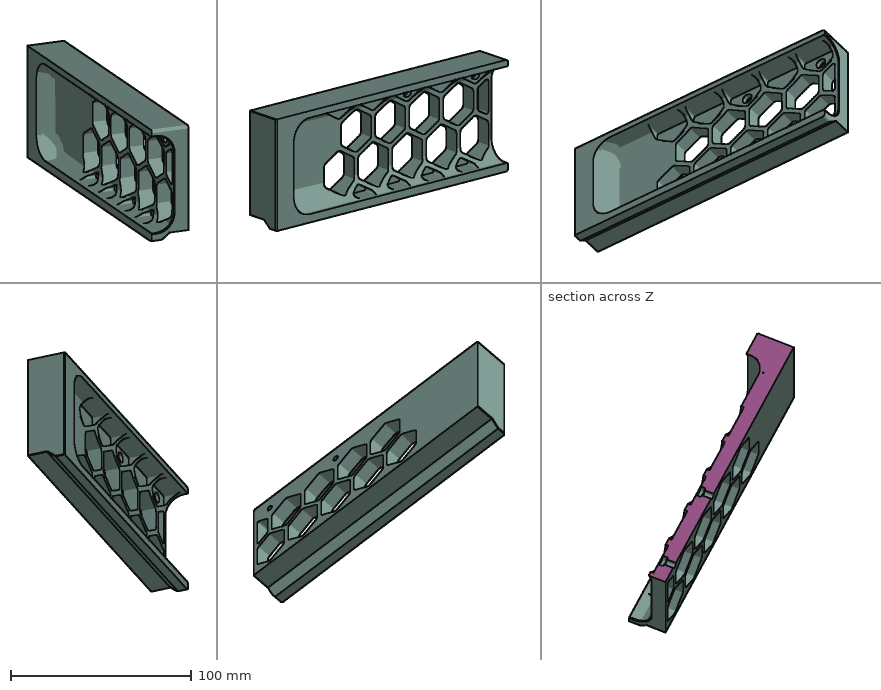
import cadquery as cq
import math

LENGTH = 170.5
DEPTH = 22.3
HEIGHT = 65.0
END_ROUND = 1.7
FRONT_CHAMFER = 0.7
LEFT_CHAMFER = 0.3

STEP_HEIGHT = 4.1
STEP_FOOT_Y = 5.6
STEP_TOP_Y = 10.7

RECESS_LEFT = 13.0
RECESS_BOTTOM = 5.0
RECESS_TOP = 61.0
RECESS_CORNER = 12.0
RECESS_COVE = 10.9
RECESS_DEPTH = 13.5
WEB_END_CHAMFER = 0.5

HEX_FLATS = 22.2
HEX_PITCH = 25.0
HEX_CORNER = 2.5
HEX_ROW_RISE = HEX_PITCH * math.sin(math.radians(60))
HEX_TIP = HEX_FLATS / math.sqrt(3)
HEX_START_X = 58.0
LOWER_ROW_Z = 19.3
UPPER_ROW_Z = LOWER_ROW_Z + HEX_ROW_RISE
TOP_POCKET_Z = UPPER_ROW_Z + HEX_ROW_RISE
FLOOR_POCKET_Z = LOWER_ROW_Z - HEX_ROW_RISE
HEX_COLUMNS = 5
END_MARGIN = 2.7
CLIPPED_CORNER = 1.4

FLOOR_POCKET_WIDTH = 13.5
FLOOR_POCKET_FOOT = 1.0
FLOOR_POCKET_SHOULDER = 0.9

SCREW_DIAMETER = 3.2
SCREW_HEAD_DIAMETER = 6.0
SCREW_HEAD_DEPTH = 3.0
SCREW_Z = 55.8
SCREW_COLUMNS = (2, 4)


def prism(points, back_y):
    """Prism of an X-Z outline, from the front face back to back_y."""
    return cq.Workplane("XZ").polyline(points).close().extrude(-back_y)


def box_between(low, high):
    size = [b - a for a, b in zip(low, high)]
    return cq.Workplane("XY").box(*size, centered=False).translate(low)


def column_x(column):
    return HEX_START_X + column * HEX_PITCH


def make_body():
    profile = [
        (0, 0),
        (STEP_FOOT_Y, 0),
        (STEP_TOP_Y, STEP_HEIGHT),
        (DEPTH, STEP_HEIGHT),
        (DEPTH, HEIGHT),
        (0, HEIGHT),
    ]
    body = cq.Workplane("YZ").polyline(profile).close().extrude(LENGTH)
    body = body.faces("<X").edges("not |Z").chamfer(LEFT_CHAMFER)
    body = body.faces("<X").edges("<Y").chamfer(FRONT_CHAMFER)
    body = body.faces(">X").edges(">Z").fillet(END_ROUND)
    return body.faces(">X").edges("<Z").fillet(END_ROUND)


def make_recess():
    right = LENGTH + 2 * RECESS_CORNER
    recess = box_between((RECESS_LEFT, 0, RECESS_BOTTOM), (right, RECESS_DEPTH, RECESS_TOP))
    recess = recess.edges("|Y and <X").fillet(RECESS_CORNER)
    return recess.faces(">Y").edges("not >X").fillet(RECESS_COVE)


def make_hexagon(x, z, back_y, cut_side=None):
    """Pointed-up hexagonal prism, cut off at the right end margin and at the recess top.

    cut_side selects the edges of a large cut, which get a tighter radius.
    """
    corners = []
    for i in range(6):
        angle = math.radians(60 * i + 30)
        corners.append((x + HEX_TIP * math.cos(angle), z + HEX_TIP * math.sin(angle)))
    limit = box_between((0, 0, 0), (LENGTH - END_MARGIN, DEPTH, RECESS_TOP))
    hexagon = prism(corners, back_y).intersect(limit)
    if cut_side is None:
        return hexagon.edges("|Y").fillet(HEX_CORNER)
    hexagon = hexagon.edges("|Y").edges("not " + cut_side).fillet(HEX_CORNER)
    return hexagon.edges("|Y").edges(cut_side).fillet(CLIPPED_CORNER)


def make_floor_pocket(x):
    """Pocket under a gap of the lower row: a gable standing on the recess floor."""
    half = FLOOR_POCKET_WIDTH / 2
    tip = FLOOR_POCKET_Z + HEX_TIP
    shoulder = tip - half * math.tan(math.radians(30))
    outline = [
        (x - half, RECESS_BOTTOM),
        (x + half, RECESS_BOTTOM),
        (x + half, shoulder),
        (x, tip),
        (x - half, shoulder),
    ]
    pocket = prism(outline, RECESS_DEPTH)
    pocket = pocket.edges("|Y").edges("not (<Z or >Z)").fillet(FLOOR_POCKET_SHOULDER)
    pocket = pocket.edges("|Y").edges("<Z").fillet(FLOOR_POCKET_FOOT)
    return pocket.edges("|Y").edges(">Z").fillet(HEX_CORNER)


def make_screw_hole(x):
    front = cq.Workplane("XZ", origin=(x, 0, SCREW_Z))
    head = front.circle(SCREW_HEAD_DIAMETER / 2).extrude(-(RECESS_DEPTH + SCREW_HEAD_DEPTH))
    return front.circle(SCREW_DIAMETER / 2).extrude(-DEPTH).union(head)


result = make_body().cut(make_recess())

recess_end = cq.selectors.BoxSelector(
    (LENGTH - WEB_END_CHAMFER, RECESS_DEPTH - RECESS_COVE, RECESS_BOTTOM),
    (LENGTH + WEB_END_CHAMFER, DEPTH - WEB_END_CHAMFER, RECESS_TOP),
)
result = result.faces(">X").edges(recess_end).chamfer(WEB_END_CHAMFER)

for column in range(HEX_COLUMNS):
    full_x = column_x(column)
    staggered_x = column_x(column + 0.5)
    is_last = column == HEX_COLUMNS - 1

    result = result.cut(make_hexagon(full_x, LOWER_ROW_Z, DEPTH))
    result = result.cut(make_hexagon(full_x, TOP_POCKET_Z, RECESS_DEPTH, cut_side=">Z"))
    if is_last:
        result = result.cut(make_hexagon(staggered_x, UPPER_ROW_Z, DEPTH, cut_side=">X"))
    else:
        result = result.cut(make_hexagon(staggered_x, UPPER_ROW_Z, DEPTH))
        result = result.cut(make_floor_pocket(staggered_x))

for column in SCREW_COLUMNS:
    result = result.cut(make_screw_hole(column_x(column)))